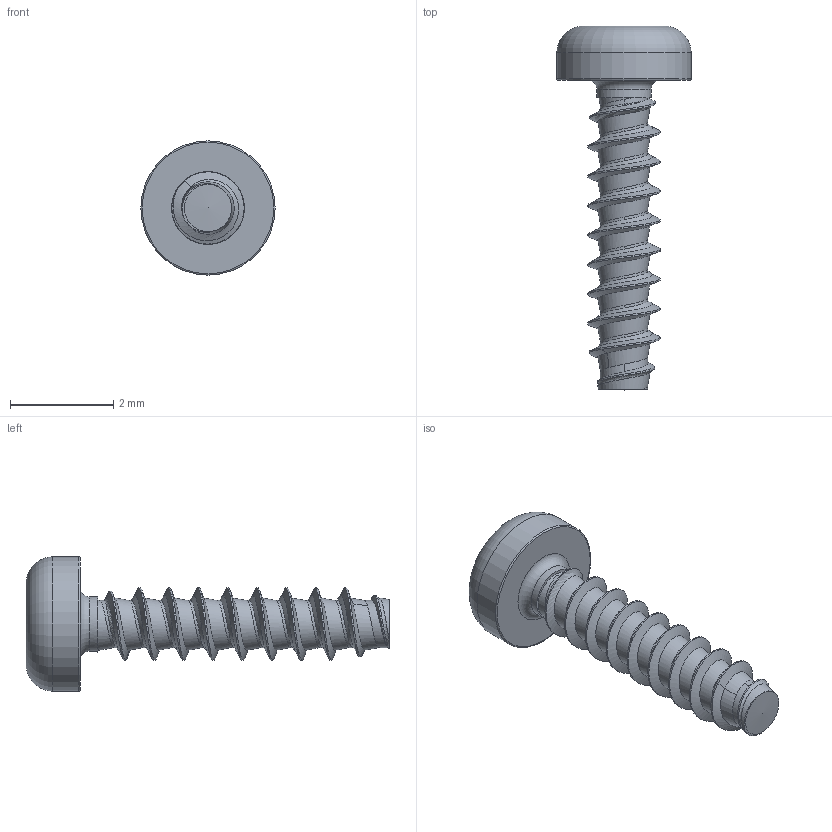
import cadquery as cq
import math

head_diameter = 2.6
head_height = 1.05
head_round = 0.52
head_edge_round = 0.025

shank_length = 6.0
neck_radius = 0.525
neck_fillet = 0.18
neck_length = 0.335
tip_cone_height = 0.015

pitch = 0.57
crest_radius = 0.7
core_radius = 0.457
shoulder_radius = 0.507
knee_radius = 0.55
crest_width = 0.03
waist_offset = 0.17
knee_offset = 0.085
shoulder_offset = 0.08
crest_phase = 0.436
sunk_radius = 0.28
bury_depth = 0.005
buried_radius = core_radius - bury_depth
sunk_knee_radius = knee_radius - (crest_radius - buried_radius)
turn_gap = 0.02

first_turn = -1.25
full_height_turn = 0.75
fade_turn = 8.36
last_turn = 9.85
points_per_turn = 24


def revolved_body():
    """Head, filleted neck, core and shallow tip cone, turned about the local Z axis."""
    head_radius = head_diameter / 2
    cone_start = shank_length - tip_cone_height
    diagonal = math.sqrt(0.5)
    fillet_middle = neck_fillet * (1 - diagonal)
    edge_middle = head_edge_round * (1 - diagonal)
    dome_middle = head_round * (1 - diagonal)
    profile = (
        cq.Workplane("YZ")
        .moveTo(0, -head_height)
        .lineTo(head_radius - head_round, -head_height)
        .threePointArc(
            (head_radius - dome_middle, -head_height + dome_middle),
            (head_radius, -head_height + head_round),
        )
        .lineTo(head_radius, -head_edge_round)
        .threePointArc(
            (head_radius - edge_middle, -edge_middle),
            (head_radius - head_edge_round, 0),
        )
        .lineTo(neck_radius + neck_fillet, 0)
        .threePointArc(
            (neck_radius + fillet_middle, fillet_middle),
            (neck_radius, neck_fillet),
        )
        .lineTo(neck_radius, neck_length)
        .lineTo(core_radius, neck_length)
        .lineTo(core_radius, cone_start)
        .lineTo(0, shank_length)
        .close()
    )
    return profile.revolve(360, (0, 0, 0), (0, 1, 0))


def radius_at(turn, full_radius, end_radius):
    """Radius of a thread edge: full along the middle, running to end_radius at both ends."""
    if turn < full_height_turn:
        fade = (full_height_turn - turn) / (full_height_turn - first_turn)
    elif turn > fade_turn:
        fade = (turn - fade_turn) / (last_turn - fade_turn)
    else:
        fade = 0
    return full_radius + fade * (end_radius - full_radius)


def helical_edge(turns, offset, full_radius, end_radius):
    """Helical edge over a range of turns, at an axial offset from the crest centre."""
    start, end = turns
    steps = math.ceil((end - start) * points_per_turn)
    points = []
    for step in range(steps + 1):
        turn = start + (end - start) * step / steps
        radius = radius_at(turn, full_radius, end_radius)
        angle = 2 * math.pi * turn
        height = crest_phase + pitch * turn + offset
        points.append(cq.Vector(radius * math.cos(angle), radius * math.sin(angle), height))
    return cq.Edge.makeSpline(points)


def thread_section(turns):
    """Stretch of thread with its tapered core flank, closed by a flat face at either end."""
    head_side = -waist_offset + turn_gap / 2
    tip_side = pitch - waist_offset - turn_gap / 2
    edges = [
        helical_edge(turns, head_side, sunk_radius, sunk_radius),
        helical_edge(turns, head_side, buried_radius, buried_radius),
        helical_edge(turns, -knee_offset, knee_radius, sunk_knee_radius),
        helical_edge(turns, -crest_width / 2, crest_radius, buried_radius),
        helical_edge(turns, crest_width / 2, crest_radius, buried_radius),
        helical_edge(turns, shoulder_offset, shoulder_radius, shoulder_radius),
        helical_edge(turns, tip_side, buried_radius, buried_radius),
        helical_edge(turns, tip_side, sunk_radius, sunk_radius),
    ]
    faces = []
    for edge, next_edge in zip(edges, edges[1:] + edges[:1]):
        faces.append(cq.Face.makeRuledSurface(edge, next_edge))
    for corners in ([e.startPoint() for e in edges], [e.endPoint() for e in edges]):
        faces.append(cq.Face.makeFromWires(cq.Wire.makePolygon(corners, close=True)))
    return cq.Workplane(cq.Solid.makeSolid(cq.Shell.makeShell(faces)))


def trim_block(start, height):
    """Block across the axis, used to cut the thread off flat."""
    width = 2 * head_diameter
    return cq.Workplane("XY", origin=(0, 0, start)).rect(width, width).extrude(height)


trim_height = shank_length
above_neck = trim_block(neck_length, -trim_height)
beyond_tip = trim_block(shank_length - tip_cone_height, trim_height)
lead_in = thread_section((first_turn, full_height_turn)).cut(above_neck)
full_thread = thread_section((full_height_turn, fade_turn))
run_out = thread_section((fade_turn, last_turn)).cut(beyond_tip)
screw = revolved_body().union(lead_in).union(full_thread).union(run_out)

result = cq.Workplane(screw.solids().val()).rotate((0, 0, 0), (1, 0, 0), 90)